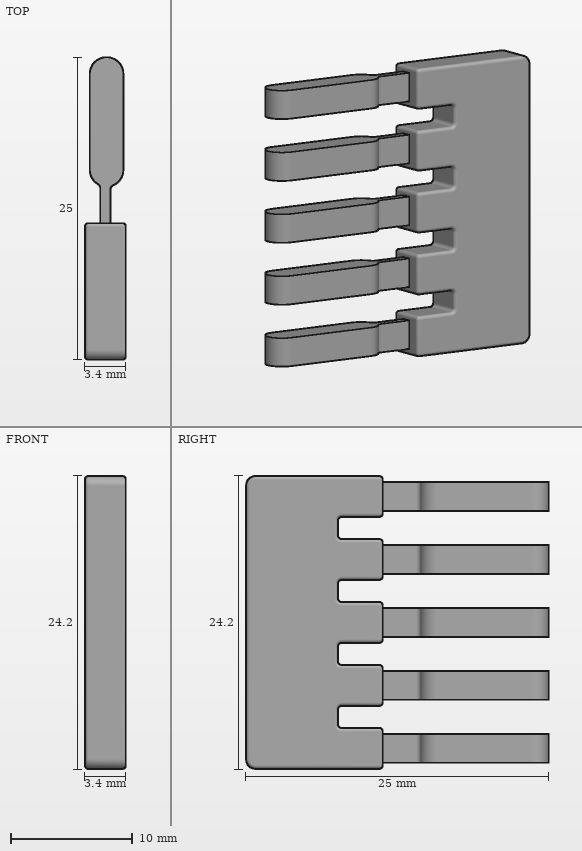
import cadquery as cq

total_length = 25.0
blade_count = 5
blade_pitch = 5.2

body_thickness = 3.4
body_length = 11.3
body_height = 24.2
back_corner_radius = 0.8
edge_radius = 0.3

slot_width = 1.8
slot_depth = 3.7
slot_corner_radius = 0.3

blade_height = 2.4
stem_width = 0.85
paddle_width = 2.8
paddle_offset = 0.1
paddle_straight_length = 7.9
neck_radius = 0.4
stem_embed = 1.0

paddle_radius = paddle_width / 2
tip_center_y = total_length - paddle_radius
neck_center_y = tip_center_y - paddle_straight_length
slot_floor_y = body_length - slot_depth


def stacked_heights(count):
    """Z positions of evenly pitched features centred on Z = 0."""
    return [(i - (count - 1) / 2) * blade_pitch for i in range(count)]


def make_body():
    """Rounded plate with a slot cut between each pair of teeth."""
    body = cq.Workplane("XY").box(
        body_thickness, body_length, body_height, centered=(True, False, True)
    )
    body = body.edges("|X and <Y").fillet(back_corner_radius)
    for z in stacked_heights(blade_count - 1):
        slot = (
            cq.Workplane("XY")
            .box(body_thickness, slot_depth, slot_width, centered=(True, False, True))
            .edges("|X and <Y")
            .fillet(slot_corner_radius)
            .translate((0, slot_floor_y, z))
        )
        body = body.cut(slot)
    body = body.faces(">Y").edges("|X").fillet(edge_radius)
    body = body.faces("<X or >X").edges().fillet(edge_radius)
    return body


def make_blade():
    """One blade centred on Z = 0, its stem reaching into the body."""
    stem_start_y = body_length - stem_embed
    stem = cq.Workplane("XY").box(
        stem_width, neck_center_y - stem_start_y, blade_height, centered=(True, False, True)
    ).translate((0, stem_start_y, 0))
    paddle = (
        cq.Workplane("XY")
        .center(paddle_offset, (tip_center_y + neck_center_y) / 2)
        .slot2D(paddle_straight_length + paddle_width, paddle_width, 90)
        .extrude(blade_height / 2, both=True)
    )
    blade = stem.union(paddle)
    neck_corners = cq.selectors.BoxSelector(
        (-stem_width, body_length, -blade_height),
        (stem_width, neck_center_y - paddle_radius / 2, blade_height),
    )
    return blade.edges("|Z").edges(neck_corners).fillet(neck_radius)


result = make_body()
blade = make_blade()
for blade_z in stacked_heights(blade_count):
    result = result.union(blade.translate((0, 0, blade_z)))